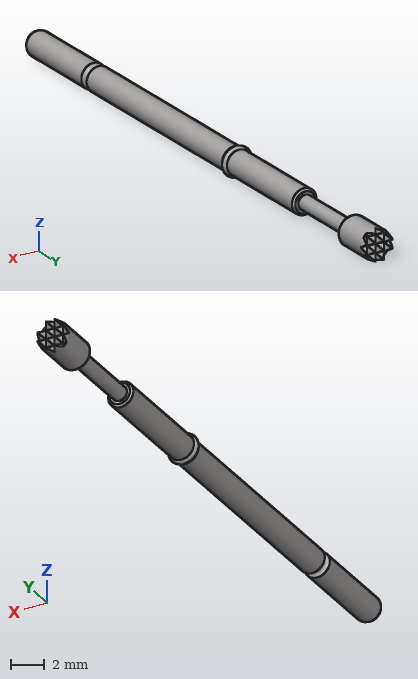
import cadquery as cq
import math

total_length = 38.7

barrel_radius = 0.85
barrel_length = 30.35
barrel_mouth_chamfer = 0.15
tail_fillet = 0.45

groove_center = 6.83
groove_width = 0.6
groove_root_radius = 0.6

ring_center = 22.65
ring_width = 0.5
ring_radius = 1.0

plunger_radius = 0.5
head_radius = 1.0
head_length = 3.0
head_start = total_length - head_length

tooth_pitch = 0.58
tooth_height = 0.5
teeth_per_row = 4
rim_tip_radius = 0.93
crown_base = total_length - tooth_height


def make_body():
    """Revolve the whole stepped outline around the Y axis."""
    groove_rear = groove_center - groove_width / 2
    groove_front = groove_center + groove_width / 2
    ring_rear = ring_center - ring_width / 2
    ring_front = ring_center + ring_width / 2
    fillet_axis_radius = barrel_radius - tail_fillet
    fillet_mid_offset = tail_fillet * math.sin(math.pi / 4)
    outline = (
        cq.Workplane("XY")
        .moveTo(0, 0)
        .lineTo(fillet_axis_radius, 0)
        .threePointArc(
            (fillet_axis_radius + fillet_mid_offset, tail_fillet - fillet_mid_offset),
            (barrel_radius, tail_fillet),
        )
        .lineTo(barrel_radius, groove_rear)
        .threePointArc((groove_root_radius, groove_center), (barrel_radius, groove_front))
        .lineTo(barrel_radius, ring_rear)
        .threePointArc((ring_radius, ring_center), (barrel_radius, ring_front))
        .lineTo(barrel_radius, barrel_length - barrel_mouth_chamfer)
        .lineTo(barrel_radius - barrel_mouth_chamfer, barrel_length)
        .lineTo(plunger_radius, barrel_length)
        .lineTo(plunger_radius, head_start)
        .lineTo(head_radius, head_start)
        .lineTo(head_radius, crown_base)
        .lineTo(rim_tip_radius, total_length)
        .lineTo(0, total_length)
        .close()
    )
    return outline.revolve(360, (0, 0, 0), (0, 1, 0))


def make_v_cutter(offset):
    """V-shaped bar running along Z across the head, with its root at X = offset."""
    return (
        cq.Workplane("XY")
        .moveTo(offset - tooth_pitch / 2, total_length)
        .lineTo(offset, crown_base)
        .lineTo(offset + tooth_pitch / 2, total_length)
        .close()
        .extrude(2 * head_radius, both=True)
    )


def cut_grooves(body):
    """Cut the end of the head into pyramids with matching grooves along Z and along X."""
    for index in range(teeth_per_row + 1):
        offset = (index - teeth_per_row / 2) * tooth_pitch
        cutter = make_v_cutter(offset)
        body = body.cut(cutter)
        body = body.cut(cutter.rotate((0, 0, 0), (0, 1, 0), 90))
    return body


def cut_corners(body):
    """Clear the partial teeth at the four corners of the grid down to the groove roots."""
    corner_start = (teeth_per_row / 2 - 1) * tooth_pitch
    corner_center = corner_start + head_radius / 2
    corner_block = cq.Workplane("XY").box(head_radius, tooth_height, head_radius)
    for x_side in (-1, 1):
        for z_side in (-1, 1):
            center = (x_side * corner_center, total_length - tooth_height / 2, z_side * corner_center)
            body = body.cut(corner_block.translate(center))
    return body


result = cut_corners(cut_grooves(make_body()))